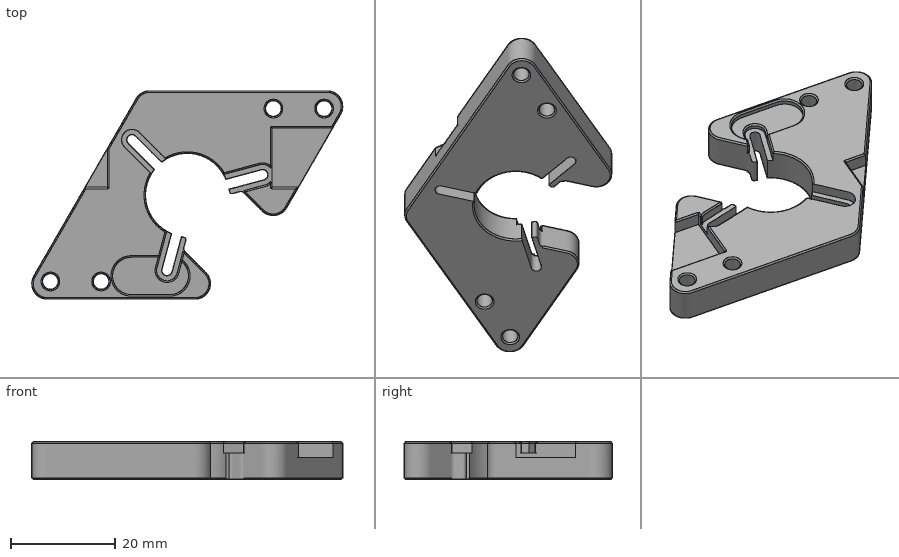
import cadquery as cq
import math

length = 59.7
width = 40.0
height = 7.2
slant_angle = 60.0
corner_radius = 3.0
edge_chamfer = 0.3

bore_radius = 8.0
channel_angle = -45.0

hole_diameter = 3.0
hole_y = 16.6
outer_hole_x = 26.25
inner_hole_x = 16.55

slot_width = 1.95
rail_width = 4.0
slot_end_radius = 15.0
shelf_depth = 2.15
slot_spacing = 120.0
rail_tip_radius = 0.5
rail_root_fillet = 0.9

pocket_depth = 3.0
pocket_low_y = 1.5
right_pocket_x = 16.3
right_pocket_high_y = 12.9
left_pocket_x = -15.35
oval_x = -7.05
oval_y = -15.5
oval_length = 14.55
oval_width = 7.15
oval_depth = 1.15

shelf_z = height - shelf_depth
oval_floor_z = height - oval_depth
slant = math.radians(slant_angle)
half_width = width / 2
sharp_corner_x = length / 2 - corner_radius + corner_radius / math.tan(slant / 2)
obtuse_corner_x = sharp_corner_x - width / math.tan(slant)
channel_start = bore_radius * math.cos(math.radians(slot_spacing / 2))
reach = 2 * length

upper_slot_angle = channel_angle + slot_spacing / 2
lower_slot_angle = channel_angle - slot_spacing / 2
back_slot_angle = channel_angle + 180


def turned(shape, angle):
    return shape.rotate((0, 0, 0), (0, 0, 1), angle)


def prism(outline, low_z, high_z):
    return cq.Workplane("XY", origin=(0, 0, low_z)).placeSketch(outline).extrude(high_z - low_z)


def rectangle(low_x, high_x, low_y, high_y):
    center = ((low_x + high_x) / 2, (low_y + high_y) / 2)
    return cq.Sketch().push([center]).rect(high_x - low_x, high_y - low_y).reset()


def channel(half_opening, floor_z):
    outline = rectangle(channel_start, reach, -half_opening, half_opening)
    return turned(prism(outline, floor_z, height), channel_angle)


def plate():
    """The parallelogram with its bore, channel and holes, its edges chamfered at top and bottom."""
    corners = [
        (-sharp_corner_x, -half_width),
        (obtuse_corner_x, -half_width),
        (sharp_corner_x, half_width),
        (-obtuse_corner_x, half_width),
    ]
    holes = [(sign * x, sign * hole_y) for sign in (-1, 1) for x in (inner_hole_x, outer_hole_x)]
    blank = cq.Workplane("XY").polyline(corners).close().extrude(height)
    blank = blank.cut(channel(bore_radius, 0))
    blank = blank.edges("|Z").filter(is_outside_bore).fillet(corner_radius)
    blank = blank.cut(cq.Workplane("XY").circle(bore_radius).extrude(height))
    blank = blank.cut(cq.Workplane("XY").pushPoints(holes).circle(hole_diameter / 2).extrude(height))
    return blank.faces("<Z or >Z").edges().chamfer(edge_chamfer)


def is_outside_bore(edge):
    center = edge.Center()
    return math.hypot(center.x, center.y) > bore_radius + corner_radius


def radial_slot(slot_size, start=0.0):
    """Outline of a slot along +X from `start`, ending in a half circle."""
    half = slot_size / 2
    return (
        cq.Sketch()
        .segment((start, half), (start, -half))
        .segment((slot_end_radius, -half))
        .arc((slot_end_radius + half, 0), (slot_end_radius, half))
        .close()
        .assemble()
    )


def flare(outline, high_z):
    """The 45 degree chamfer that widens an opening towards its rim at `high_z`."""
    low = cq.Workplane("XY", origin=(0, 0, high_z - edge_chamfer)).placeSketch(outline)
    return low.extrude(edge_chamfer, taper=-45)


def chamfered_recess(outline, floor_z):
    return prism(outline, floor_z, height).union(flare(outline, height))


def free_rail():
    """The wall on the -Y side of a slot along +X, where the slot lies open in the channel.

    Its tip has one round outer corner and a fillet joins its root to the channel wall.
    """
    inner = slot_width / 2
    outer = rail_width / 2
    lean = math.radians(slot_spacing / 2)
    root_x = (bore_radius + outer * math.cos(lean)) / math.sin(lean)
    tangent = rail_root_fillet * math.tan(lean / 2)
    fillet_x = root_x - tangent
    fillet_mid = (
        fillet_x + rail_root_fillet * math.sin(lean / 2),
        -outer - rail_root_fillet * (1 - math.cos(lean / 2)),
    )
    fillet_end = (root_x + tangent * math.cos(lean), -outer - tangent * math.sin(lean))
    tip_mid_inset = rail_tip_radius * (1 - math.sqrt(0.5))
    return (
        cq.Workplane("XY")
        .moveTo(bore_radius, -inner)
        .lineTo(bore_radius, -outer + rail_tip_radius)
        .threePointArc(
            (bore_radius + tip_mid_inset, -outer + tip_mid_inset),
            (bore_radius + rail_tip_radius, -outer),
        )
        .lineTo(fillet_x, -outer)
        .threePointArc(fillet_mid, fillet_end)
        .lineTo(slot_end_radius, -inner)
        .close()
        .extrude(shelf_z)
    )


recess = radial_slot(rail_width)
recess_rim = radial_slot(rail_width + 2 * edge_chamfer)
slot = prism(radial_slot(slot_width), 0, height)
right_pocket = rectangle(right_pocket_x, reach, pocket_low_y, right_pocket_high_y)
left_pocket = rectangle(-reach, left_pocket_x, pocket_low_y, half_width)
oval = cq.Sketch().push([(oval_x, oval_y)]).slot(oval_length - oval_width, oval_width).reset()
oval_recess = chamfered_recess(oval, oval_floor_z)

result = plate()

result = result.cut(chamfered_recess(right_pocket, height - pocket_depth))
result = result.cut(chamfered_recess(left_pocket, height - pocket_depth))
result = result.cut(oval_recess)

result = result.cut(turned(prism(recess, shelf_z, height), back_slot_angle))
for angle in (upper_slot_angle, lower_slot_angle):
    result = result.cut(turned(chamfered_recess(recess, shelf_z), angle))
oval_floor_chamfer = turned(flare(recess, oval_floor_z), lower_slot_angle)
result = result.cut(oval_floor_chamfer.intersect(prism(oval, shelf_z, height)))

channel_rim = channel(bore_radius + edge_chamfer, shelf_z)
pocket_rim = prism(rectangle(right_pocket_x - edge_chamfer, reach, 0, right_pocket_high_y), shelf_z, height)
for angle in (upper_slot_angle, lower_slot_angle):
    wide_recess = turned(prism(recess_rim, shelf_z, height), angle)
    result = result.cut(wide_recess.intersect(channel_rim))
    result = result.cut(wide_recess.intersect(pocket_rim))

result = result.union(turned(free_rail(), upper_slot_angle))
result = result.union(turned(free_rail().mirror("XZ"), lower_slot_angle))
for angle in (upper_slot_angle, lower_slot_angle, back_slot_angle):
    result = result.cut(turned(slot, angle))